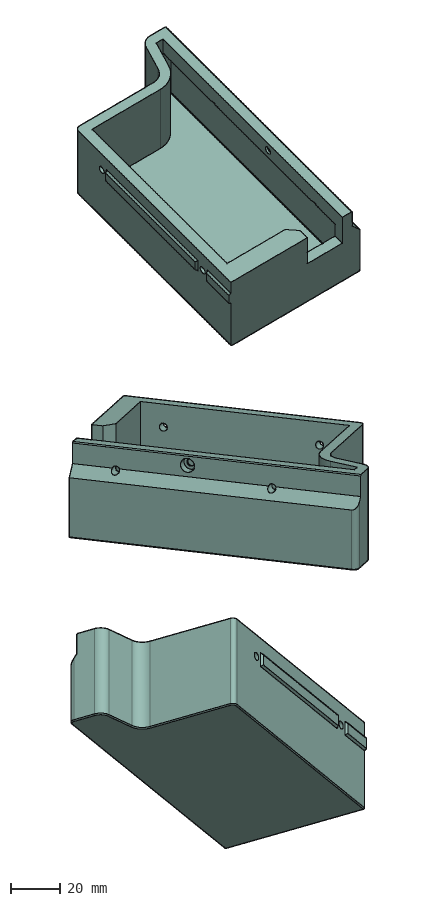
import cadquery as cq
import math

length = 124.1
depth = 67.0
height = 40.0
base_chamfer = 0.5

step_x = 20.6
shoulder_angle = 15.0
shoulder_start_y = 51.0
back_corner_radius = 2.5
shoulder_radius = 5.0
throat_radius = 6.1
front_corner_radius = 2.0

side_wall = 4.6
front_wall = 5.0
back_wall = 5.2
floor_thickness = 3.0
thick_end_wall = 8.9
thin_end_wall = 4.8
end_wall_bevel = 4.5
notch_front_y = 40.1
notch_floor_z = 23.7

back_step = 3.8
outer_slope_top_z = 30.7
outer_slope_bottom_z = 25.8
undercut_depth = 4.2
inner_slope_top_z = 31.1
inner_slope_bottom_z = 25.1

hole_diameter = 3.4
hole_z = 30.0
first_hole_x = 38.1
hole_spacing = 67.3
middle_hole_x = 74.6
middle_hole_z = 35.5
middle_bore_diameter = 6.0
middle_hole_web = 1.0

bar_depth = 1.0
bar_height = 6.3
bar_taper = 0.7
bar_hole_gap = 3.1

strip_height = 0.5
strip_depth = 0.1

front_y = bar_depth
upper_back_y = depth - back_step
cavity_front_y = front_y + front_wall
cavity_back_y = upper_back_y - back_wall
undercut_back_y = cavity_back_y + undercut_depth
cavity_right_x = length - thin_end_wall
hole_xs = [first_hole_x, first_hole_x + hole_spacing]
shoulder_tan = math.tan(math.radians(shoulder_angle))
shoulder_cos = math.cos(math.radians(shoulder_angle))


def shouldered_points(left_x, inner_x, start_y, right_x, front, back):
    """Corners of a plan outline, whose shoulder line passes through (0, start_y)."""
    return [
        (left_x, back),
        (left_x, start_y - shoulder_tan * left_x),
        (inner_x, start_y - shoulder_tan * inner_x),
        (inner_x, front),
        (right_x, front),
        (right_x, back),
    ]


def fillet_upright_edge(body, corner, radius):
    x, y = corner
    nearest = cq.selectors.NearestToPointSelector((x, y, height / 2))
    return body.edges("|Z").edges(nearest).fillet(radius)


def side_profile(points, start_x, end_x):
    """Prism along X from a closed outline of (Y, Z) points."""
    return cq.Workplane("YZ", origin=(start_x, 0, 0)).polyline(points).close().extrude(end_x - start_x)


def bore(x, z, diameter, start_y):
    """Cylinder along Y from start_y out through the back."""
    return cq.Workplane("XZ", origin=(x, start_y, z)).circle(diameter / 2).extrude(-depth)


def outer_block():
    corners = shouldered_points(0, step_x, shoulder_start_y, length, front_y, depth)
    radii = [back_corner_radius, shoulder_radius, throat_radius, front_corner_radius]
    block = cq.Workplane("XY").polyline(corners).close().extrude(height)
    for corner, radius in zip(corners, radii):
        block = fillet_upright_edge(block, corner, radius)
    block = block.faces("<Z").edges("not >X").chamfer(base_chamfer)
    relief = side_profile(
        [
            (depth, outer_slope_bottom_z),
            (upper_back_y, outer_slope_top_z),
            (upper_back_y, height),
            (depth, height),
        ],
        0,
        length,
    )
    return block.cut(relief).faces(">Z").edges(">Y").chamfer(base_chamfer)


def thick_end_block():
    """Extra thickness of the right end wall, bevelled towards the notch."""
    thick_x = length - thick_end_wall
    return (
        cq.Workplane("XY")
        .moveTo(length, notch_front_y)
        .lineTo(cavity_right_x, notch_front_y)
        .lineTo(thick_x, notch_front_y - end_wall_bevel)
        .lineTo(thick_x, front_y)
        .lineTo(length, front_y)
        .close()
        .extrude(height)
    )


def cavity():
    start_y = shoulder_start_y + side_wall / shoulder_cos
    corners = shouldered_points(
        side_wall, step_x + side_wall, start_y, cavity_right_x, cavity_front_y, cavity_back_y
    )
    room = (
        cq.Workplane("XY", origin=(0, 0, floor_thickness))
        .polyline(corners)
        .close()
        .extrude(height - floor_thickness)
    )
    throat_corner = corners[2]
    room = fillet_upright_edge(room, throat_corner, throat_radius + side_wall)
    undercut = side_profile(
        [
            (cavity_back_y, floor_thickness),
            (undercut_back_y, floor_thickness),
            (undercut_back_y, inner_slope_bottom_z),
            (cavity_back_y, inner_slope_top_z),
        ],
        side_wall,
        cavity_right_x,
    )
    return room.cut(thick_end_block()).union(undercut)


def notch():
    """Opening in the top of the right end wall, next to the back wall."""
    return cq.Workplane("XY", origin=(cavity_right_x, notch_front_y, notch_floor_z)).box(
        thin_end_wall, cavity_back_y - notch_front_y, height - notch_floor_z, centered=False
    )


def bar(start_x, end_x):
    """Raised bar whose sides slope in towards its outer face."""
    bar_length = end_x - start_x
    return (
        cq.Workplane("XZ", origin=((start_x + end_x) / 2, front_y, hole_z))
        .rect(bar_length, bar_height)
        .workplane(offset=bar_depth)
        .rect(bar_length - 2 * bar_taper, bar_height - 2 * bar_taper)
        .loft(ruled=True)
    )


def front_bars():
    """A bar between the two holes, and one cut off flush with the right end."""
    first_x, second_x = hole_xs
    middle_bar = bar(first_x + bar_hole_gap, second_x - bar_hole_gap)
    end_bar = bar(second_x + bar_hole_gap, length + bar_taper)
    beyond_end = cq.Workplane("XY", origin=(length, 0, 0)).box(
        bar_taper, front_y, height, centered=False
    )
    return middle_bar, end_bar.cut(beyond_end)


def make_housing():
    body = outer_block().cut(cavity()).cut(notch())
    for front_bar in front_bars():
        body = body.union(front_bar)
    for x in hole_xs:
        body = body.cut(bore(x, hole_z, hole_diameter, 0))
    counterbore_y = cavity_back_y + middle_hole_web
    body = body.cut(bore(middle_hole_x, middle_hole_z, hole_diameter, notch_front_y))
    return body.cut(bore(middle_hole_x, middle_hole_z, middle_bore_diameter, counterbore_y))


def make_strip():
    """Thin strip on the floor against the back of the undercut."""
    return cq.Workplane("XY", origin=(side_wall, undercut_back_y - strip_depth, floor_thickness)).box(
        cavity_right_x - side_wall, strip_depth, strip_height, centered=False
    )


housing = make_housing()
strip = make_strip()

result = cq.Compound.makeCompound([housing.val(), strip.val()])